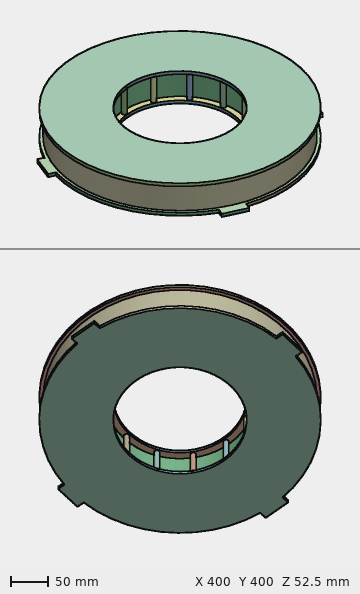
import cadquery as cq

overall_width = 400.0
overall_height = 52.5

flange_diameter = 380.0
flange_thickness = 5.0
bore_diameter = 180.0

drum_outer_diameter = 370.0
drum_inner_diameter = 200.0
drum_height = overall_height - 2 * flange_thickness

tab_width = 40.0

pin_count = 12
pin_diameter = 8.0
pin_circle_radius = (bore_diameter + drum_inner_diameter) / 4


def ring(outer_diameter, inner_diameter, height, base_z):
    """Flat ring centred on Z, rising from base_z."""
    return (
        cq.Workplane("XY", origin=(0, 0, base_z))
        .circle(outer_diameter / 2)
        .circle(inner_diameter / 2)
        .extrude(height)
    )


def bottom_flange():
    """Bottom ring with four tabs, made from two crossed bars, and an open bore."""
    plate = cq.Workplane("XY").circle(flange_diameter / 2).extrude(flange_thickness)
    for length_x, length_y in ((overall_width, tab_width), (tab_width, overall_width)):
        bar = cq.Workplane("XY").rect(length_x, length_y).extrude(flange_thickness)
        plate = plate.union(bar)
    bore = cq.Workplane("XY").circle(bore_diameter / 2).extrude(flange_thickness)
    return plate.cut(bore)


def pins():
    """Upright pins joining the two flanges, evenly spaced from the X axis.

    Each pin reaches into both flanges so that the joint is solid.
    """
    embed = flange_thickness / 2
    return (
        cq.Workplane("XY", origin=(0, 0, flange_thickness - embed))
        .polarArray(pin_circle_radius, 0, 360, pin_count)
        .circle(pin_diameter / 2)
        .extrude(drum_height + 2 * embed)
    )


drum = ring(drum_outer_diameter, drum_inner_diameter, drum_height, flange_thickness)
top_flange = ring(flange_diameter, bore_diameter, flange_thickness, overall_height - flange_thickness)

result = bottom_flange().union(drum).union(top_flange).union(pins())